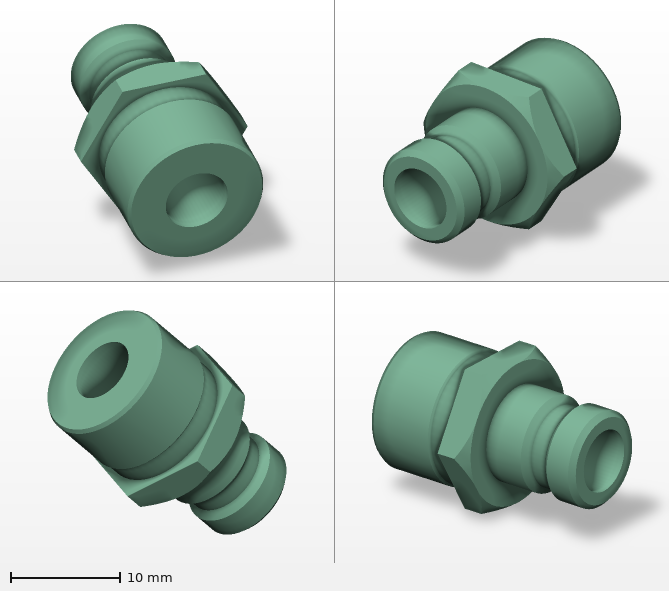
import cadquery as cq
import math

total_length = 22.0
lip_end = 3.0
shank_start = 6.0
hex_start = 10.0
hex_end = 13.0
relief_end = 15.1

bore_diameter = 6.0
plug_diameter = 9.4
groove_diameter = 8.0
relief_diameter = 12.7
spigot_diameter = 13.15
hex_across_corners = 16.17

plug_chamfer = 0.5
spigot_end_chamfer_length = 0.4
spigot_end_chamfer_depth = 0.22

bore_radius = bore_diameter / 2
plug_radius = plug_diameter / 2
groove_radius = groove_diameter / 2
relief_radius = relief_diameter / 2
spigot_radius = spigot_diameter / 2
hex_corner_radius = hex_across_corners / 2
hex_inner_radius = hex_corner_radius * math.cos(math.radians(30))

groove_flank = plug_radius - groove_radius
relief_flank = spigot_radius - relief_radius
hex_chamfer = hex_corner_radius - hex_inner_radius


def revolve_about_x(points):
    """Revolve a closed (x, radius) outline about the X axis."""
    return cq.Workplane("XY").polyline(points).close().revolve(360, (0, 0, 0), (1, 0, 0))


def make_turned_body():
    """Plug with locking groove, undercut and spigot, without the hexagon."""
    return revolve_about_x([
        (0, 0),
        (0, plug_radius - plug_chamfer),
        (plug_chamfer, plug_radius),
        (lip_end, plug_radius),
        (lip_end + groove_flank, groove_radius),
        (shank_start - groove_flank, groove_radius),
        (shank_start, plug_radius),
        (hex_start, plug_radius),
        (hex_start, relief_radius),
        (relief_end, relief_radius),
        (relief_end + relief_flank, spigot_radius),
        (total_length - spigot_end_chamfer_length, spigot_radius),
        (total_length, spigot_radius - spigot_end_chamfer_depth),
        (total_length, 0),
    ])


def make_hexagon():
    """Wrench hexagon with corners on +Y and -Y, its plug-side corners turned off at 45 degrees."""
    prism = (
        cq.Workplane("YZ", origin=(hex_start, 0, 0))
        .polygon(6, hex_across_corners)
        .extrude(hex_end - hex_start)
    )
    chamfer_envelope = revolve_about_x([
        (hex_start, 0),
        (hex_start, hex_inner_radius),
        (hex_start + hex_chamfer, hex_corner_radius),
        (hex_end, hex_corner_radius),
        (hex_end, 0),
    ])
    return prism.intersect(chamfer_envelope)


def make_bore():
    """Plain bore through the full length."""
    return cq.Workplane("YZ").circle(bore_radius).extrude(total_length)


result = make_turned_body().union(make_hexagon()).cut(make_bore())